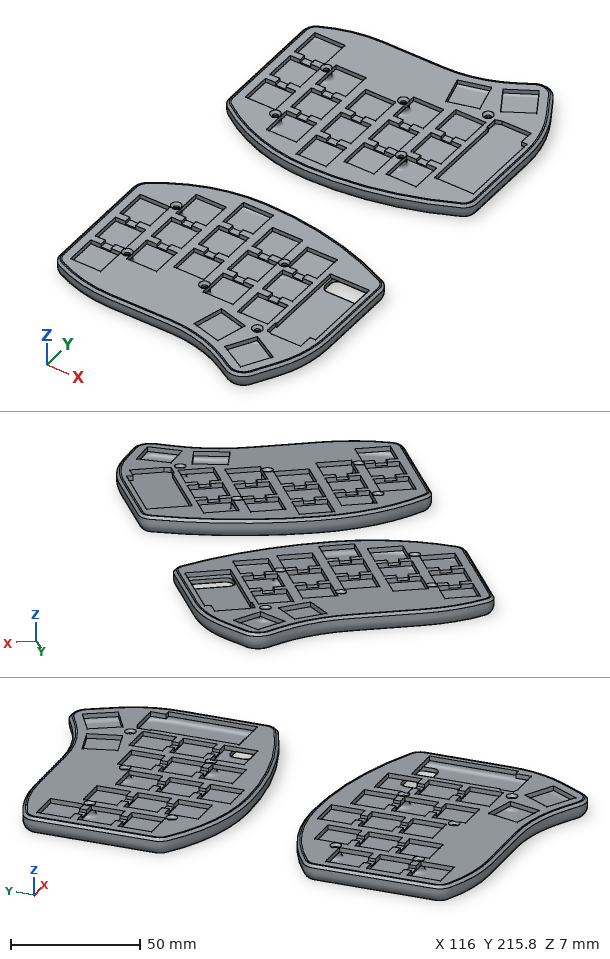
import cadquery as cq
import math

half_width = 116.0 / 2
case_height = 7.0

crown_x = -8.8
crown_y = -12.7
crown_left_radius = 77.7
crown_right_radius = 144.2
side_arc_start_y = -69.0
side_arc_radius = 49.6
front_y = -95.8
front_straight_left = -27.5
front_straight_right = 0.6
front_left_radius = 60.5
front_right_radius = 57.0
thumb_tilt = math.radians(30)
thumb_corner_radius = 7.5
corner_radius = 6.5

wall = 1.7
floor = 1.7
rim_chamfer = 1.0
side_bottom = 3.7
bottom_radius = 4.5
cavity_radius = 2.2
trim_size = 431.7

plate_thickness = 2.0
plate_bottom = case_height - plate_thickness

key_size = 14.0
row_pitch = 17.0
first_column_x = -45.5
last_column_x = 26.3
column_middle_ys = [-60.5, -48.4, -42.3, -48.8, -51.4]
column_pitch = (last_column_x - first_column_x) / (len(column_middle_ys) - 1)
thumb_keys = [(18.1, -86.1, -15), (37.0, -93.7, -30)]
notch_width = 4.7
notch_depth = 1.3

board_left = 36.0
board_right = 54.2
board_back = -36.0
board_step_y = -73.2
board_front = -79.6
board_foot_left = 35.5
board_foot_right = 51.5
board_foot_cut_x = 2.5
board_foot_cut_y = 0.9

slot_left = 34.8
slot_right = 54.5
slot_front = -40.5
slot_back = -31.0
slot_corner_radius = 3.0

screw_points = [(-37.1, -34.3), (-36.7, -68.9), (17.5, -40.4), (-0.6, -68.9), (31.5, -79.9)]
boss_diameter = 4.5
boss_flare = 1.62
boss_hole_diameter = 1.9
plate_hole_diameter = 2.4
countersink_diameter = 4.5
countersink_angle = 90


def drop(radius, run):
    """Fall of an arc below its level point, at a horizontal distance from it."""
    return radius - math.sqrt(radius**2 - run**2)


def outline_solid(height):
    """Full-size outline with rounded corners, standing on z = 0."""
    back_left = (-half_width, crown_y - drop(crown_left_radius, crown_x + half_width))
    back_right = (half_width, crown_y - drop(crown_right_radius, half_width - crown_x))
    run = half_width + front_straight_left
    front_left = (-half_width, front_y + drop(front_left_radius, run))
    side_end = (
        half_width - side_arc_radius * (1 - math.cos(thumb_tilt)),
        side_arc_start_y - side_arc_radius * math.sin(thumb_tilt),
    )
    front_end_of_arc = (
        front_straight_right + front_right_radius * math.sin(thumb_tilt),
        front_y - front_right_radius * (1 - math.cos(thumb_tilt)),
    )
    along_x = math.cos(thumb_tilt)
    along_y = -math.sin(thumb_tilt)
    reach = (side_end[0] - front_end_of_arc[0]) * along_x + (side_end[1] - front_end_of_arc[1]) * along_y
    thumb_corner = (front_end_of_arc[0] + reach * along_x, front_end_of_arc[1] + reach * along_y)

    body = (
        cq.Workplane("XY")
        .moveTo(*back_left)
        .radiusArc((crown_x, crown_y), crown_left_radius)
        .radiusArc(back_right, crown_right_radius)
        .lineTo(half_width, side_arc_start_y)
        .radiusArc(side_end, side_arc_radius)
        .lineTo(*thumb_corner)
        .lineTo(*front_end_of_arc)
        .radiusArc((front_straight_right, front_y), -front_right_radius)
        .lineTo(front_straight_left, front_y)
        .radiusArc(front_left, front_left_radius)
        .close()
        .extrude(height)
    )
    for corner, radius in [
        (back_left, corner_radius),
        (back_right, corner_radius),
        (front_left, corner_radius),
        (thumb_corner, thumb_corner_radius),
    ]:
        nearest = cq.selectors.NearestToPointSelector((*corner, height / 2))
        body = body.edges("|Z").edges(nearest).fillet(radius)
    return body


def inner_solid(bottom, height):
    """Outline set in by the wall thickness, from the given level upwards."""
    outer_wire = outline_solid(height).faces("<Z").wires().val()
    inner_wire = outer_wire.offset2D(-wall)[0]
    inner = cq.Solid.extrudeLinear(inner_wire, [], cq.Vector(0, 0, height))
    return cq.Workplane("XY").add(inner.translate(cq.Vector(0, 0, bottom)))


def make_boss():
    """Screw boss at the origin, flaring out to meet the floor."""
    radius = boss_diameter / 2
    lean = boss_flare * math.sqrt(0.5)
    return (
        cq.Workplane("XZ")
        .moveTo(0, floor / 2)
        .lineTo(radius + boss_flare, floor / 2)
        .lineTo(radius + boss_flare, floor)
        .threePointArc(
            (radius + boss_flare - lean, floor + boss_flare - lean),
            (radius, floor + boss_flare),
        )
        .lineTo(radius, plate_bottom)
        .lineTo(0, plate_bottom)
        .close()
        .revolve(360, (0, 0), (0, 1))
    )


def make_case():
    """Tray with a rounded bottom edge, a chamfered rim, screw bosses and a floor slot."""
    below = bottom_radius - side_bottom
    blank = outline_solid(case_height + below).translate((0, 0, -below))
    blank = blank.faces("<Z").edges().fillet(bottom_radius)
    blank = blank.faces(">Z").chamfer(rim_chamfer)
    underside = cq.Workplane("XY").workplane(offset=-below).rect(trim_size, trim_size).extrude(below)
    case = blank.cut(underside)
    cavity = inner_solid(floor, case_height - floor).faces("<Z").edges().fillet(cavity_radius)
    case = case.cut(cavity)

    boss = make_boss()
    for x, y in screw_points:
        case = case.union(boss.translate((x, y, 0)))
    holes = cq.Workplane("XY").pushPoints(screw_points).circle(boss_hole_diameter / 2).extrude(case_height)
    slot = (
        cq.Workplane("XY")
        .center((slot_left + slot_right) / 2, (slot_front + slot_back) / 2)
        .rect(slot_right - slot_left, slot_back - slot_front)
        .extrude(floor + cavity_radius)
        .edges("|Z")
        .fillet(slot_corner_radius)
    )
    return case.cut(holes).cut(slot)


def key_openings():
    """Openings of the five columns of three keys, the notches between them, and the thumb keys."""
    cutter = cq.Workplane("XY")
    for index, middle_y in enumerate(column_middle_ys):
        x = first_column_x + index * column_pitch
        for row in (-1, 0, 1):
            key = cq.Workplane("XY").box(key_size, key_size, 2 * case_height)
            cutter = cutter.add(key.translate((x, middle_y + row * row_pitch, case_height)))
        for side in (-0.5, 0.5):
            notch = cq.Workplane("XY").box(notch_width, row_pitch - key_size, 2 * notch_depth)
            cutter = cutter.add(notch.translate((x, middle_y + side * row_pitch, case_height)))
    for x, y, turn in thumb_keys:
        key = cq.Workplane("XY").box(key_size, key_size, 2 * case_height)
        cutter = cutter.add(key.rotate((0, 0, 0), (0, 0, 1), turn).translate((x, y, case_height)))
    return cutter.combine()


def board_opening():
    """Stepped opening over the controller board."""
    return (
        cq.Workplane("XY")
        .moveTo(board_left, board_back)
        .lineTo(board_right, board_back)
        .lineTo(board_right, board_step_y)
        .lineTo(board_foot_right, board_step_y)
        .lineTo(board_foot_right, board_front)
        .lineTo(board_foot_left + board_foot_cut_x, board_front)
        .lineTo(board_foot_left, board_front + board_foot_cut_y)
        .lineTo(board_foot_left, board_step_y)
        .lineTo(board_left, board_step_y)
        .close()
        .extrude(case_height)
    )


def make_plate():
    """Switch plate with key openings, board opening and countersunk screw holes."""
    plate = inner_solid(plate_bottom, plate_thickness)
    plate = plate.cut(key_openings()).cut(board_opening())
    return (
        plate.faces(">Z")
        .workplane(origin=(0, 0, case_height))
        .pushPoints(screw_points)
        .cskHole(plate_hole_diameter, countersink_diameter, countersink_angle)
    )


case = make_case()
plate = make_plate()
bodies = []
for body in (case, plate):
    bodies.append(body.val())
    bodies.append(body.mirror("XZ").val())

result = cq.Compound.makeCompound(bodies)